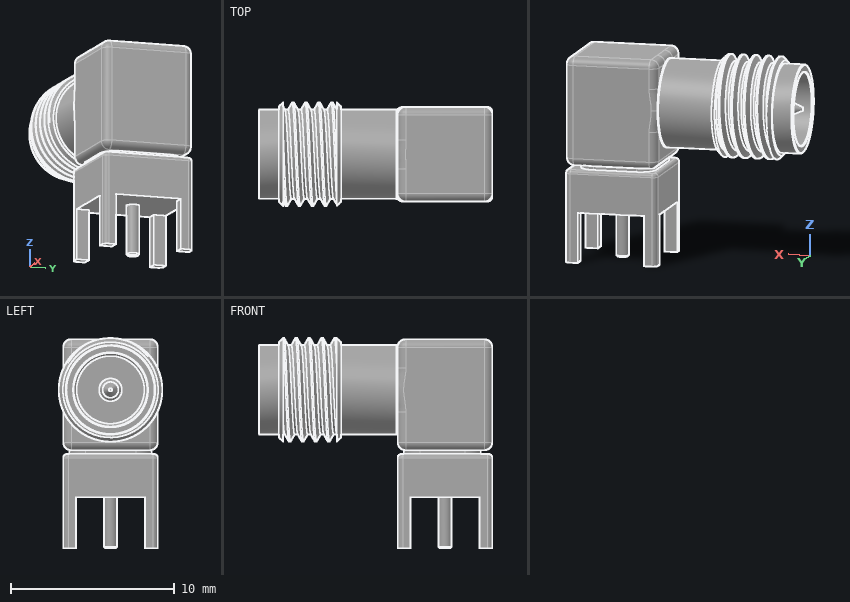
import cadquery as cq
import math


block_side = 5.8
block_top = 3.1
block_height = 6.8
block_fillet = 0.5
block_bottom = block_top - block_height
block_face = -block_side / 2

stub_length = 0.067
stub_diameter = 5.5
stub_radius = stub_diameter / 2

neck_height = 0.22
neck_half_side = 2.53
neck_rear = 2.2
neck_corner_radius = 1.0

base_top = block_bottom - neck_height
base_bottom = -9.705
leg_height = 3.13
leg_side = 0.8
base_corner_radius = 0.32
base_top_fillet = 0.23

pin_diameter = 0.8
pin_chamfer = 0.1

barrel_diameter = 5.49
barrel_radius = barrel_diameter / 2
barrel_front = -11.4
barrel_back = block_face - stub_length
barrel_edge_chamfer = 0.05
bore_diameter = 4.5
bore_radius = bore_diameter / 2
bore_depth = 2.4
bore_floor_chamfer = 0.18
bore_mouth_chamfer = 0.05
bore_floor = barrel_front + bore_depth + bore_floor_chamfer

contact_diameter = 0.97
contact_radius = contact_diameter / 2
contact_tip_radius = 0.1
contact_cone_length = 0.89
contact_root_radius = 0.7

thread_diameter = 6.35
thread_radius = thread_diameter / 2
thread_start = barrel_front + 1.235
thread_length = 3.805
thread_end = thread_start + thread_length
ring_width = 0.26
ring_radius = 3.17
ring_end_radius = 2.92
thread_pitch = 0.795
thread_crest_width = 0.1
thread_half_angle = math.radians(30)
thread_crest_offset = 1.505
thread_root_overlap = 0.08


def revolve_about_x(points):
    """Solid of revolution about X from (x, radius) points."""
    return cq.Workplane("XY").polyline(points).close().revolve(360, (0, 0, 0), (1, 0, 0))


def make_block():
    """Block with its barrel stub; the rounded edges blend around the stub where it crowds them."""
    block = (
        cq.Workplane("XY", origin=(0, 0, block_bottom))
        .rect(block_side, block_side)
        .extrude(block_height)
    )
    stub = cq.Workplane("YZ").circle(stub_radius).extrude(barrel_back)
    return block.union(stub).edges("%LINE").edges("not <X").fillet(block_fillet)


def make_neck():
    neck_length = neck_half_side + neck_rear
    neck = (
        cq.Workplane("XY", origin=((neck_rear - neck_half_side) / 2, 0, base_top))
        .rect(neck_length, 2 * neck_half_side)
        .extrude(neck_height)
    )
    return neck.edges("|Z").fillet(neck_corner_radius)


def make_base():
    base = (
        cq.Workplane("XY", origin=(0, 0, base_bottom))
        .rect(block_side, block_side)
        .extrude(base_top - base_bottom)
        .edges("|Z")
        .fillet(base_corner_radius)
        .faces(">Z")
        .edges()
        .fillet(base_top_fillet)
    )
    gap = block_side - 2 * leg_side
    for length, width in ((block_side, gap), (gap, block_side)):
        slot = cq.Workplane("XY", origin=(0, 0, base_bottom)).rect(length, width).extrude(leg_height)
        base = base.cut(slot)
    return base


def make_pin():
    pin = cq.Workplane("XY", origin=(0, 0, base_bottom)).circle(pin_diameter / 2)
    return pin.extrude(base_top - base_bottom).faces("<Z").chamfer(pin_chamfer)


def make_barrel():
    """Bored barrel together with the pointed contact standing on the bore floor."""
    mouth_radius = bore_radius + bore_mouth_chamfer
    contact_flare = contact_root_radius - contact_radius
    return revolve_about_x([
        (barrel_back, 0),
        (barrel_back, barrel_radius),
        (barrel_front + barrel_edge_chamfer, barrel_radius),
        (barrel_front, barrel_radius - barrel_edge_chamfer),
        (barrel_front, mouth_radius),
        (barrel_front + bore_mouth_chamfer, bore_radius),
        (barrel_front + bore_depth, bore_radius),
        (bore_floor, bore_radius - bore_floor_chamfer),
        (bore_floor, contact_root_radius),
        (bore_floor - contact_flare, contact_radius),
        (barrel_front + contact_cone_length, contact_radius),
        (barrel_front, contact_tip_radius),
        (barrel_front, 0),
    ])


def make_thread_ring(end, inward):
    """Bevelled ring whose small face is at x = end; inward is the sign of X towards the thread."""
    inner_radius = (bore_radius + barrel_radius) / 2
    return revolve_about_x([
        (end, inner_radius),
        (end, ring_end_radius),
        (end + inward * ring_width, ring_radius),
        (end + inward * ring_width, inner_radius),
    ])


def make_thread_ridge():
    """Right-handed helical ridge, cut flat where it meets the two end rings."""
    root_radius = barrel_radius - thread_root_overlap
    crest_half = thread_crest_width / 2
    root_half = crest_half + (thread_radius - root_radius) * math.tan(thread_half_angle)
    helix = cq.Wire.makeHelix(thread_pitch, thread_length + 2 * thread_pitch, root_radius)
    ridge = (
        cq.Workplane("XZ")
        .polyline([
            (root_radius, -root_half),
            (thread_radius, -crest_half),
            (thread_radius, crest_half),
            (root_radius, root_half),
        ])
        .close()
        .sweep(cq.Workplane(helix), isFrenet=True)
    )
    ridge = ridge.rotate((0, 0, 0), (0, 1, 0), 90).rotate((0, 0, 0), (1, 0, 0), 180)
    ridge = ridge.translate((barrel_front + thread_crest_offset - thread_pitch, 0, 0))
    span = thread_length - 2 * ring_width
    window = (
        cq.Workplane("YZ", origin=(thread_start + ring_width, 0, 0))
        .circle(thread_diameter)
        .extrude(span)
    )
    return ridge.intersect(window)


def make_threaded_barrel():
    return (
        make_barrel()
        .union(make_thread_ring(thread_start, 1))
        .union(make_thread_ring(thread_end, -1))
        .union(make_thread_ridge())
    )


result = (
    make_block()
    .union(make_threaded_barrel())
    .union(make_neck())
    .union(make_base())
    .union(make_pin())
)